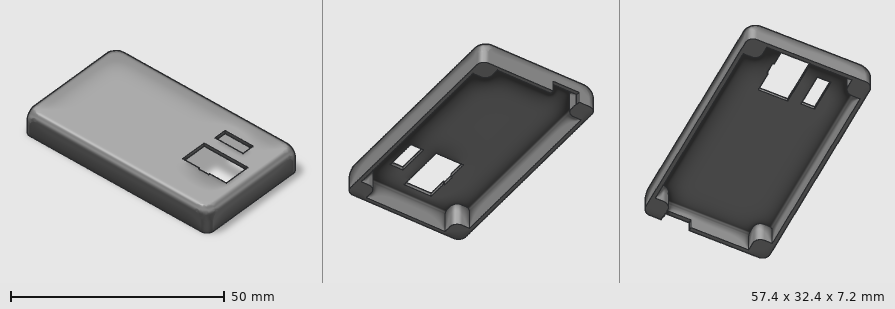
import cadquery as cq
import math

length = 57.4
width = 32.4
height = 7.2
edge_radius = 2.0
wall = 1.0
top_thickness = 1.0
inner_radius = edge_radius - wall

corner_reach = 2 * edge_radius
corner_inset = 1.1

pad_reach = 5.1
pad_radius = 2.0

small_window_x = (12.0, 20.7)
small_window_y = (5.45, 9.0)
large_window_x = (11.35, 24.95)
large_window_y = (-5.35, 2.3)
notch_x = (16.6, 19.75)
notch_depth = 0.35

slot_y = (-11.25, -3.95)
slot_height = 3.0


def block(x_limits, y_limits, z_limits):
    """Axis-aligned box between the given limits."""
    return cq.Workplane("XY").box(
        x_limits[1] - x_limits[0],
        y_limits[1] - y_limits[0],
        z_limits[1] - z_limits[0],
        centered=False,
    ).translate((x_limits[0], y_limits[0], z_limits[0]))


def rounded_block(size_x, size_y, size_z, radius):
    """Box standing on Z = 0 with every edge rounded except the bottom ones."""
    box = cq.Workplane("XY").box(size_x, size_y, size_z, centered=(True, True, False))
    return box.edges("|Z or >Z").fillet(radius)


def corner_blend():
    """Solid corner with its tip at the origin, filling the positive octant up to corner_reach."""
    arc_low = edge_radius * (1 - math.sqrt(0.5))
    arc_mid = edge_radius + arc_low

    def shifted(point, turn):
        """Cycle the coordinates to carry a point from one axis to the next."""
        return cq.Vector(*(point[(axis - turn) % 3] for axis in range(3)))

    def arc(points, turn):
        return cq.Edge.makeThreePointArc(*(shifted(point, turn) for point in points))

    r = edge_radius
    far = corner_reach
    section_arc = ((far, r, 0), (far, arc_low, arc_low), (far, 0, r))
    face_arc = ((far, 0, r), (arc_mid, 0, arc_mid), (r, 0, far))
    section_edges = [arc(section_arc, turn) for turn in range(3)]
    face_edges = [arc(face_arc, turn) for turn in range(3)]
    middle = cq.Vector(corner_inset, corner_inset, corner_inset)
    faces = [cq.Face.makeNSidedSurface(section_edges + face_edges, [middle])]

    def flat_face(edge, corners, turn):
        """Plane face closed by an arc and straight lines through the corners."""
        points = [shifted(point, turn) for point in corners]
        lines = [cq.Edge.makeLine(start, end) for start, end in zip(points, points[1:])]
        return cq.Face.makeFromWires(cq.Wire.assembleEdges([edge] + lines))

    section_corners = ((far, 0, r), (far, 0, far), (far, far, far), (far, far, 0), (far, r, 0))
    face_corners = ((r, 0, far), (far, 0, far), (far, 0, r))
    for turn in range(3):
        faces.append(flat_face(section_edges[turn], section_corners, turn))
        faces.append(flat_face(face_edges[turn], face_corners, turn))
    return cq.Workplane(cq.Solid.makeSolid(cq.Shell.makeShell(faces)))


def in_four_corners(corner):
    """Mirror the shape of the -X -Y corner into all four corners."""
    left_pair = corner.union(corner.mirror("XZ"))
    return left_pair.union(left_pair.mirror("YZ"))


def soften_corners(body):
    """Replace the four ball-shaped top corners with the softer blends."""
    reach = (0, corner_reach)
    start = (-length / 2, -width / 2, height)
    corner_cube = block(reach, reach, reach).mirror("XY").translate(start)
    blend = corner_blend().mirror("XY").translate(start)
    return body.cut(in_four_corners(corner_cube)).union(in_four_corners(blend))


def corner_pads():
    pad_x = (wall - length / 2, pad_reach - length / 2)
    pad_y = (wall - width / 2, pad_reach - width / 2)
    pad = block(pad_x, pad_y, (0, height - top_thickness))
    pad = pad.edges("|Z and >X and >Y").fillet(pad_radius)
    pad = pad.edges("|Z and <X and <Y").fillet(inner_radius)
    return in_four_corners(pad)


def make_shell():
    outside = soften_corners(rounded_block(length, width, height, edge_radius))
    cavity = rounded_block(
        length - 2 * wall,
        width - 2 * wall,
        height - top_thickness,
        inner_radius,
    )
    return outside.cut(cavity.cut(corner_pads()))


def cut_windows(body):
    through_top = (height - top_thickness - inner_radius, height)
    notch_y = (large_window_y[0] - notch_depth, large_window_y[0])
    openings = (
        (small_window_x, small_window_y),
        (large_window_x, large_window_y),
        (notch_x, notch_y),
    )
    for x_limits, y_limits in openings:
        body = body.cut(block(x_limits, y_limits, through_top))
    return body


def cut_cable_slot(body):
    wall_x = (-length / 2, -length / 2 + wall)
    return body.cut(block(wall_x, slot_y, (0, slot_height)))


result = cut_cable_slot(cut_windows(make_shell()))